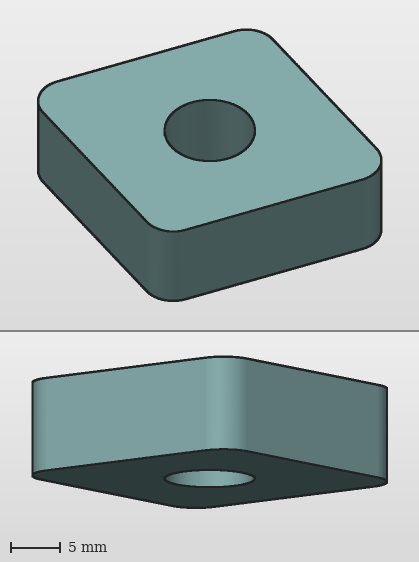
import cadquery as cq
import math

overall_length = 29.05
thickness = 9.53
acute_angle = 80.0
corner_radius = 3.17
hole_diameter = 9.12

angle = math.radians(acute_angle)
arc_centre_length = overall_length - 2 * corner_radius
arc_centre_height = arc_centre_length * math.sin(angle) / (1 + math.cos(angle))

width = arc_centre_height + 2 * corner_radius
side = width / math.sin(angle)
lean = width / math.tan(angle)

right_x = (side + lean) / 2
inner_x = (side - lean) / 2
corners = [
    (-right_x, -width / 2),
    (inner_x, -width / 2),
    (right_x, width / 2),
    (-inner_x, width / 2),
]

body = cq.Workplane("XY").polyline(corners).close().extrude(thickness)
body = body.edges("|Z").fillet(corner_radius)

result = body.faces(">Z").workplane(origin=(0, 0, 0)).hole(hole_diameter)